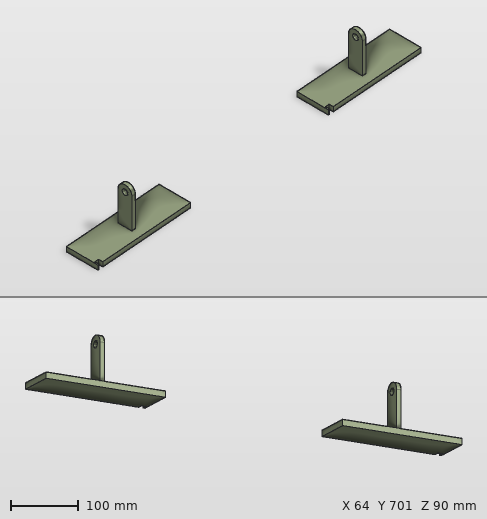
import cadquery as cq

OVERALL_LENGTH = 701.0
OVERALL_HEIGHT = 90.0

PLATE_WIDTH = 64.0
PLATE_LENGTH = 201.0
PLATE_THICKNESS = 10.0

LUG_WIDTH = 28.0
LUG_THICKNESS = 8.0
LUG_RADIUS = LUG_WIDTH / 2
EYE_HEIGHT = OVERALL_HEIGHT - LUG_RADIUS
EYE_DIAMETER = 11.0

NOTCH_DEPTH = 8.5
NOTCH_LENGTH = 8.0
NOTCH_STRIP = 3.0

BRACKET_COUNT = 2
BRACKET_SPACING = (OVERALL_LENGTH - PLATE_LENGTH) / (BRACKET_COUNT - 1)


def make_plate():
    """Flat plate standing on Z = 0, with the side notch cut through it."""
    plate = cq.Workplane("XY").box(
        PLATE_WIDTH, PLATE_LENGTH, PLATE_THICKNESS, centered=(True, True, False)
    )
    notch = (
        cq.Workplane("XY")
        .box(NOTCH_DEPTH, NOTCH_LENGTH, PLATE_THICKNESS, centered=False)
        .translate((PLATE_WIDTH / 2 - NOTCH_DEPTH, NOTCH_STRIP - PLATE_LENGTH / 2, 0))
    )
    return plate.cut(notch)


def make_lug():
    """Upright lug, its back face on the plate centreline, with an eye concentric to its round top."""
    lug = (
        cq.Workplane("XZ")
        .moveTo(-LUG_RADIUS, PLATE_THICKNESS)
        .lineTo(LUG_RADIUS, PLATE_THICKNESS)
        .lineTo(LUG_RADIUS, EYE_HEIGHT)
        .threePointArc((0, OVERALL_HEIGHT), (-LUG_RADIUS, EYE_HEIGHT))
        .close()
        .extrude(LUG_THICKNESS)
    )
    eye = (
        cq.Workplane("XZ")
        .center(0, EYE_HEIGHT)
        .circle(EYE_DIAMETER / 2)
        .extrude(LUG_THICKNESS, both=True)
    )
    return lug.cut(eye)


def make_bracket(y_center):
    """One bracket: a plate and its lug as a single solid."""
    return make_plate().union(make_lug()).translate((0, y_center, 0))


first_y = -BRACKET_SPACING * (BRACKET_COUNT - 1) / 2
brackets = [make_bracket(first_y + i * BRACKET_SPACING) for i in range(BRACKET_COUNT)]

result = cq.Compound.makeCompound([bracket.val() for bracket in brackets])